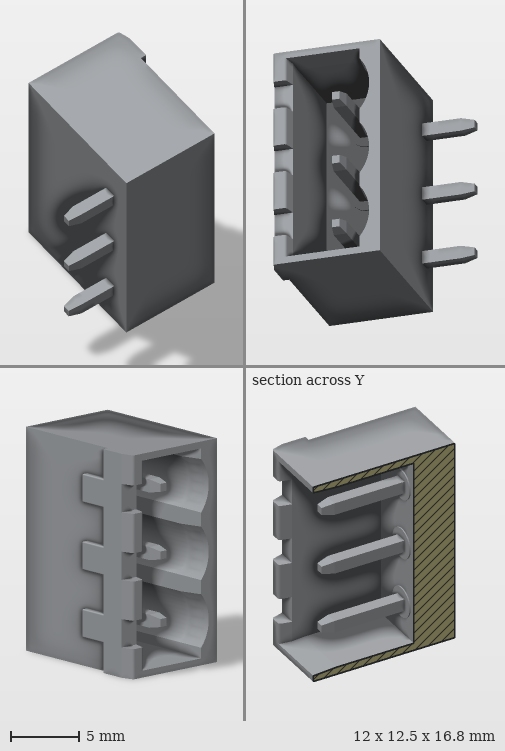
import cadquery as cq

length_x = 12.0
body_y = 8.03
height_z = 16.84

lip_top_y = 8.5
lip_length = 2.98
lip_chamfer_x = 1.0
lip_chamfer_y = 0.29
lip_lead_in_y = 0.24
lip_corner_radius = 0.2

cavity_top_y = 7.04
cavity_depth = 8.5
mouth_low_y = 1.57
mouth_end_wall = 0.52
mouth_depth = 2.0
mouth_taper_y = 0.24
mouth_taper_z = 0.13
scallop_radius = 3.1

notch_width = 2.14
pad_end_x = 5.29
pad_edge_radius = 0.1

pin_count = 3
pin_pitch = 5.09
pin_width = 1.0
pin_tip_width = 0.6
pin_taper_length = 1.0
contact_y = 3.92
contact_tip_x = 1.5
solder_pin_x = 10.02
solder_pin_length = 3.99
collar_diameter = 2.48
collar_height = 0.1
pin_embedment = 0.85

first_pin_z = (height_z - (pin_count - 1) * pin_pitch) / 2
pin_heights = [first_pin_z + i * pin_pitch for i in range(pin_count)]


def box(x_range, y_range, z_range):
    """Box given by its limits along each axis."""
    sizes = [high - low for low, high in (x_range, y_range, z_range)]
    corner = (x_range[0], y_range[0], z_range[0])
    return cq.Workplane("XY").box(*sizes, centered=False).translate(corner)


def upper_wall():
    """+Y wall with the raised lip, narrowed and rounded along its open edge."""
    profile = [
        (0, cavity_top_y + lip_lead_in_y),
        (lip_chamfer_x, cavity_top_y),
        (length_x, cavity_top_y),
        (length_x, body_y),
        (lip_length, body_y),
        (lip_length, lip_top_y),
        (lip_chamfer_x, lip_top_y),
        (0, lip_top_y - lip_chamfer_y),
    ]
    wall = cq.Workplane("XY").polyline(profile).close().extrude(height_z)
    return wall.edges("|Z and <X").fillet(lip_corner_radius)


def tapered_mouth():
    """Rectangular mouth that narrows on the -Y side and at both Z ends."""
    mouth_y = lip_top_y - mouth_low_y
    mouth_z = height_z - 2 * mouth_end_wall
    inner_y = mouth_y - mouth_taper_y
    inner_z = mouth_z - 2 * mouth_taper_z
    return (
        cq.Workplane("YZ", origin=(0, lip_top_y - mouth_y / 2, height_z / 2))
        .rect(mouth_y, mouth_z)
        .workplane(offset=mouth_depth)
        .center(mouth_taper_y / 2, 0)
        .rect(inner_y, inner_z)
        .loft()
    )


def scallop(z):
    """Round clearance around one contact: a cone at the mouth, then a cylinder."""
    inner_radius = scallop_radius - mouth_taper_y
    outline = [
        (0, 0),
        (0, scallop_radius),
        (mouth_depth, inner_radius),
        (cavity_depth, inner_radius),
        (cavity_depth, 0),
    ]
    round_space = (
        cq.Workplane("XY")
        .polyline(outline)
        .close()
        .revolve(360, (0, 0, 0), (1, 0, 0))
        .translate((0, contact_y, z))
    )
    one_pitch = box(
        (0, cavity_depth),
        (0, body_y),
        (z - pin_pitch / 2, z + pin_pitch / 2),
    )
    return round_space.intersect(one_pitch)


def cavity():
    """Space for the plug, before the lip profile limits it on the +Y side."""
    end_wall = mouth_end_wall + mouth_taper_z
    space = tapered_mouth().union(
        box(
            (mouth_depth, cavity_depth),
            (mouth_low_y + mouth_taper_y, cavity_top_y),
            (end_wall, height_z - end_wall),
        )
    )
    for z in pin_heights:
        space = space.union(scallop(z))
    return space


def notch(z):
    """Gap through the lip in line with one contact."""
    return box(
        (0, lip_chamfer_x),
        (cavity_top_y, lip_top_y),
        (z - notch_width / 2, z + notch_width / 2),
    )


def latch_pad(z):
    """Raised pad behind one notch, rounded along its sides and rear corners."""
    pad = box(
        (lip_length, pad_end_x),
        (cavity_top_y, lip_top_y),
        (z - notch_width / 2, z + notch_width / 2),
    )
    return pad.edges("(|Y and >X) or (|X and >Y)").fillet(pad_edge_radius)


def square_pin(base, length):
    """Square pin with a tapered tip, built from the plane it starts on."""
    shank_length = length - pin_taper_length
    shank = base.rect(pin_width, pin_width).extrude(shank_length)
    tip = (
        base.workplane(offset=shank_length)
        .rect(pin_width, pin_width)
        .workplane(offset=pin_taper_length)
        .rect(pin_tip_width, pin_tip_width)
        .loft()
    )
    return shank.union(tip)


def contact_pin(z):
    """Contact standing on the cavity floor and pointing to the open side."""
    base_x = cavity_depth + pin_embedment
    base = cq.Workplane(cq.Plane((base_x, contact_y, z), (0, 1, 0), (-1, 0, 0)))
    return square_pin(base, base_x - contact_tip_x)


def collar(z):
    """Low round collar on the cavity floor around one contact."""
    origin = (cavity_depth - collar_height, contact_y, z)
    disc = cq.Workplane("YZ", origin=origin).circle(collar_diameter / 2)
    return disc.extrude(collar_height + pin_embedment)


def solder_pin(z):
    base = cq.Workplane("XZ", origin=(solder_pin_x, pin_embedment, z))
    return square_pin(base, solder_pin_length + pin_embedment)


wall = upper_wall()
lip_middle_y = (cavity_top_y + lip_top_y) / 2
lower_body = box((0, length_x), (0, lip_middle_y), (0, height_z))
result = lower_body.union(wall).cut(cavity().cut(wall))
for z in pin_heights:
    result = result.cut(notch(z)).union(latch_pad(z))
    result = result.union(collar(z)).union(contact_pin(z)).union(solder_pin(z))